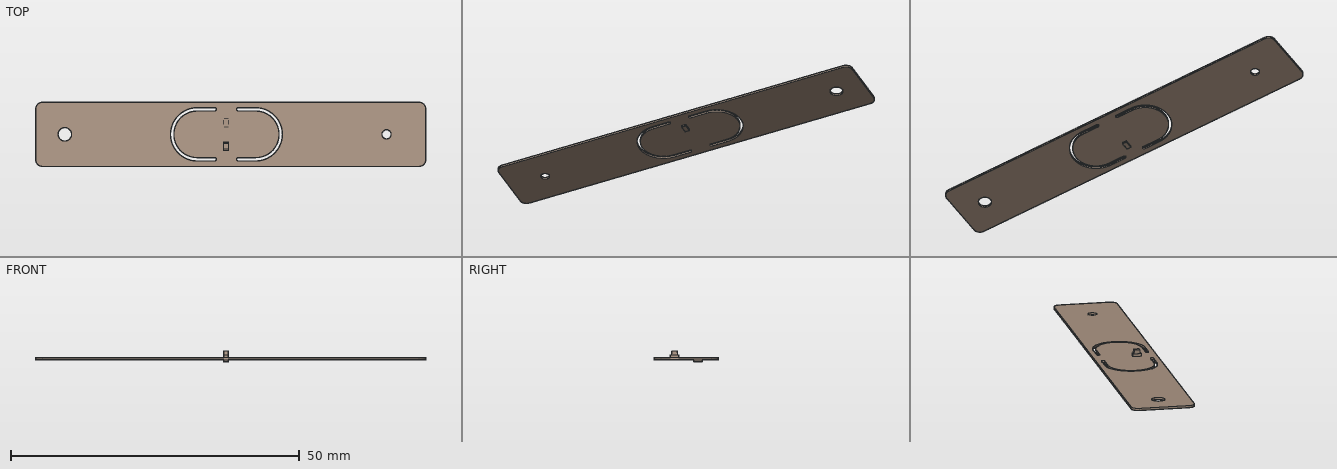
import cadquery as cq

plate_length = 67.55
plate_width = 11.15
plate_thickness = 0.4
corner_radius = 1.2

large_hole_x = -28.7
small_hole_x = 26.95
large_hole_diameter = 2.3
small_hole_diameter = 1.55

tongue_center_x = -0.75
slot_width = 0.55
slot_bend_radius = 4.3
slot_bend_offset = 5.1
slot_end_offset = 2.0

component_center_x = -0.8
component_length = 1.5
component_width = 0.8
component_offset_y = 2.0
base_height = 0.5
lens_root_length = 1.1
lens_height = 0.7
lens_inset = 0.06
chip_height = 0.3
cap_height = 0.1
cap_inset = 0.02


def u_slot(side):
    """Cutter for one slot; side is -1 for the slot bent round -X, +1 for +X."""
    end_x = tongue_center_x + side * slot_end_offset
    bend_x = tongue_center_x + side * slot_bend_offset
    path = (
        cq.Workplane("XY")
        .moveTo(end_x, slot_bend_radius)
        .lineTo(bend_x, slot_bend_radius)
        .threePointArc((bend_x + side * slot_bend_radius, 0), (bend_x, -slot_bend_radius))
        .lineTo(end_x, -slot_bend_radius)
    )
    return path.offset2D(slot_width / 2).extrude(plate_thickness)


def block(length_y, center_y, bottom_z, height):
    """Rectangular block of the common component width, centred on the component row."""
    return (
        cq.Workplane("XY", origin=(component_center_x, center_y, bottom_z))
        .rect(component_width, length_y)
        .extrude(height)
    )


def make_plate():
    """Plate with rounded corners, two round holes and the pair of slots."""
    plate = cq.Workplane("XY").rect(plate_length, plate_width).extrude(plate_thickness)
    plate = plate.edges("|Z").fillet(corner_radius)
    for hole_x, diameter in (
        (large_hole_x, large_hole_diameter),
        (small_hole_x, small_hole_diameter),
    ):
        hole = cq.Workplane("XY").center(hole_x, 0).circle(diameter / 2)
        plate = plate.cut(hole.extrude(plate_thickness))
    for side in (-1, 1):
        plate = plate.cut(u_slot(side))
    return plate


def tapered_block(root_length, end_inset, center_y, root_z, height):
    """Block with both Y ends leaning in by end_inset from root to tip; a negative height hangs down."""
    tip_length = root_length - 2 * end_inset
    outline = [
        (-root_length / 2, 0),
        (root_length / 2, 0),
        (tip_length / 2, height),
        (-tip_length / 2, height),
    ]
    start_x = component_center_x - component_width / 2
    return (
        cq.Workplane("YZ", origin=(start_x, center_y, root_z))
        .polyline(outline)
        .close()
        .extrude(component_width)
    )


plate = make_plate()
lamp_base = block(component_length, -component_offset_y, plate_thickness, base_height)
lens = tapered_block(
    lens_root_length,
    lens_inset,
    -component_offset_y,
    plate_thickness + base_height,
    lens_height,
)
chip = block(component_length, component_offset_y, -chip_height, chip_height)
chip_cap = tapered_block(
    component_length,
    cap_inset,
    component_offset_y,
    -chip_height,
    -cap_height,
)

result = cq.Compound.makeCompound(
    [plate.val(), lamp_base.val(), lens.val(), chip.val(), chip_cap.val()]
)